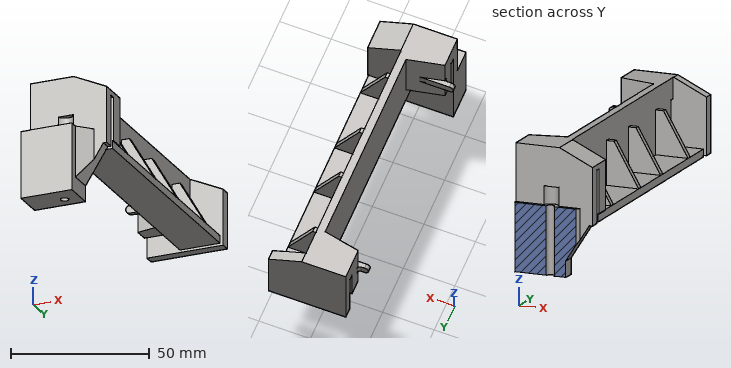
import cadquery as cq
import math

frame_length = 108.0
frame_width = 30.0
frame_height = 27.9

plate_thickness = 4.0
slope_start = 17.1
slope_drop = 6.0

slot_width = 2.1
slot_top = 19.9
wall_x = 14.0
wall_thickness = 3.0
wall_back = wall_x + wall_thickness
wall_margin = plate_thickness + slot_width
wall_length = frame_length - 2 * wall_margin

shelf_edge = 29.7
shelf_thickness = 3.0
gusset_thickness = 2.0
gusset_flat = 3.0
gusset_angle = 60
gusset_offsets = (-35.0, -10.0, 10.0, 35.0)

block_bottom = 7.0
block_depth = 8.0
block_depth_at_wall = 10.9

pin_reach = 4.0
pin_height = 3.0
pin_thickness = 1.9
pin_z = 15.7
pin_root_fillet = 1.2

foot_width = 20.0
foot_drop = 20.0
foot_overhang = 8.4
foot_top = 6.0
shoulder = 5.1
wedge_edge = 28.8
wedge_drop = 13.9

screw_x = wall_x
screw_y = -1.0
screw_diameter = 3.0
head_diameter = 6.3
head_clearance = 7.0


def box(x0, x1, y0, y1, z0, z1):
    """Box between two opposite corners."""
    return cq.Workplane("XY").box(x1 - x0, y1 - y0, z1 - z0, centered=False).translate((x0, y0, z0))


def xz_prism(points, y0, y1):
    """Outline in X and Z, extruded from y0 to y1."""
    return cq.Workplane("XZ", origin=(0, y0, 0)).polyline(points).close().extrude(y0 - y1)


def mirrored_to_rear(shape):
    """Copy of a front-end feature, mirrored to the rear end."""
    return shape.mirror("XZ", (0, frame_length / 2, 0))


def end_plate():
    """Plate across one end, with its upper back corner sloped off."""
    outline = [
        (0, 0),
        (frame_width, 0),
        (frame_width, frame_height - slope_drop),
        (slope_start, frame_height),
        (0, frame_height),
    ]
    return xz_prism(outline, 0, plate_thickness)


def wall_and_shelf():
    """Long wall with a shelf along its lower back edge; the wall's top strip spans both slots."""
    y0, y1 = wall_margin, wall_margin + wall_length
    wall = box(wall_x, wall_back, y0, y1, 0, frame_height)
    strip = box(wall_x, wall_back, plate_thickness, frame_length - plate_thickness, slot_top, frame_height)
    shelf = box(wall_back, shelf_edge, y0, y1, 0, shelf_thickness)
    return wall.union(strip).union(shelf)


def gusset(center_y):
    """Web that is flat next to the wall and then slopes down to the shelf's edge."""
    flat_end = wall_back + gusset_flat
    gusset_top = shelf_thickness + (shelf_edge - flat_end) * math.tan(math.radians(gusset_angle))
    outline = [
        (wall_back, 0),
        (shelf_edge, 0),
        (shelf_edge, shelf_thickness),
        (flat_end, gusset_top),
        (wall_back, gusset_top),
    ]
    return xz_prism(outline, center_y - gusset_thickness / 2, center_y + gusset_thickness / 2)


def tapered_block():
    """Block joining an end plate to the wall, slotted from below along the plate."""
    outline = [
        (0, plate_thickness),
        (wall_x, plate_thickness),
        (wall_x, plate_thickness + block_depth_at_wall),
        (0, plate_thickness + block_depth),
    ]
    block = cq.Workplane("XY", origin=(0, 0, block_bottom)).polyline(outline).close()
    block = block.extrude(frame_height - block_bottom)
    return block.cut(box(0, wall_x, plate_thickness, wall_margin, block_bottom, slot_top))


def locating_pin():
    """Flat pin with a rounded nose, filleted into the side of its block."""
    y0 = plate_thickness + block_depth
    radius = pin_height / 2
    nose_x = radius - pin_reach
    shank = box(nose_x, wall_x, y0, y0 + pin_thickness, pin_z - radius, pin_z + radius)
    nose = cq.Workplane("XZ", origin=(nose_x, y0, pin_z)).circle(radius).extrude(-pin_thickness)
    bend = pin_root_fillet * (1 - math.sqrt(0.5))
    root = (
        cq.Workplane("XY", origin=(0, 0, pin_z - radius))
        .moveTo(0, y0)
        .lineTo(-pin_root_fillet, y0)
        .threePointArc((-bend, y0 - bend), (0, y0 - pin_root_fillet))
        .close()
        .extrude(pin_height)
    )
    return shank.union(nose).union(root)


def rear_corner_block():
    """Block behind the wall at the front end, under the same slope as the end plate."""
    outline = [
        (wall_back, 0),
        (frame_width, 0),
        (frame_width, frame_height - slope_drop),
        (slope_start, frame_height),
        (wall_back, frame_height),
    ]
    block_end = plate_thickness + block_depth
    block = xz_prism(outline, plate_thickness, block_end)
    slot = box(wall_back, frame_width, plate_thickness, wall_margin, 0, slot_top)
    overhang = box(shelf_edge, frame_width, wall_margin, block_end, 0, shelf_thickness)
    return block.cut(slot).cut(overhang)


def foot():
    """Foot under the front end plate, with a sloped wedge and an angled shoulder on one side."""
    side = [
        (0, -foot_drop),
        (foot_width, -foot_drop),
        (foot_width, -wedge_drop),
        (wedge_edge, 0),
        (wedge_edge, foot_top),
        (0, foot_top),
    ]
    plan = [
        (0, -foot_overhang),
        (foot_width, -foot_overhang),
        (foot_width, -shoulder),
        (foot_width + shoulder, 0),
        (wedge_edge, 0),
        (wedge_edge, plate_thickness),
        (0, plate_thickness),
    ]
    body = xz_prism(side, -foot_overhang, plate_thickness)
    footprint = cq.Workplane("XY", origin=(0, 0, -foot_drop)).polyline(plan).close()
    return body.intersect(footprint.extrude(foot_drop + foot_top))


def screw_cuts():
    """Through hole in the foot and the screw-head recess in the end plate above it."""
    hole = cq.Workplane("XY", origin=(screw_x, screw_y, -foot_drop)).circle(screw_diameter / 2)
    head = cq.Workplane("XY", origin=(screw_x, screw_y, foot_top)).circle(head_diameter / 2)
    return hole.extrude(foot_drop + foot_top).union(head.extrude(head_clearance))


result = wall_and_shelf().union(rear_corner_block()).union(foot())
for feature in (end_plate(), tapered_block(), locating_pin()):
    result = result.union(feature).union(mirrored_to_rear(feature))
for offset in gusset_offsets:
    result = result.union(gusset(frame_length / 2 + offset))
result = result.cut(screw_cuts())